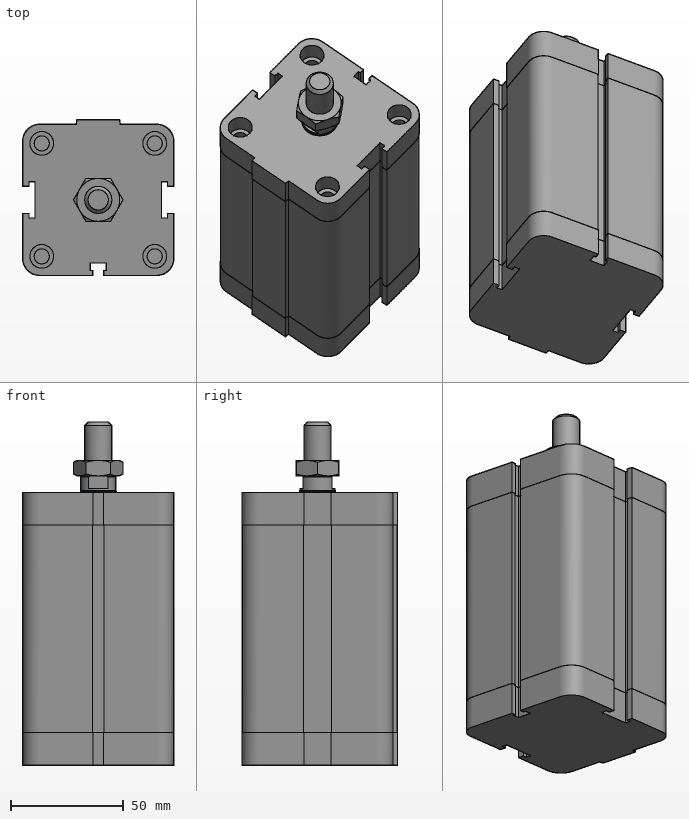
import cadquery as cq
import math


housing_side = 67.0
housing_height = 120.8
end_cap_height = 14.5
barrel_height = housing_height - 2 * end_cap_height
barrel_inset = 0.09
corner_radius = 7.6
rib_base_width = 19.6
rib_top_width = 19.0
rib_height = 2.0

side_slot = (12.0, 16.0, 2.9, 5.5)
front_slot = (4.9, 7.0, 2.3, 5.5)

hole_pitch = 50.0
hole_diameter = 6.7
counterbore_diameter = 10.5
hole_depth = end_cap_height
counterbore_depth = 9.1

rod_top = 152.0
rod_diameter = 16.0
rod_exposed_length = 0.9
rod_bevel_height = 0.5
collar_diameter = 15.7
thread_diameter = 12.0
rod_tip_chamfer = 1.5
collar_chamfer = 0.5
rod_engagement = end_cap_height
flats_across = 12.9
flats_offset = 1.7
flats_bottom = housing_height + flats_offset

nut_sides = 6
nut_across_flats = 19.0
nut_height = 6.8
collar_height = 7.3
nut_bottom = housing_height + collar_height
nut_bevel_angle = 30
nut_across_corners = nut_across_flats / math.cos(math.pi / nut_sides)


def t_slot(slot, height, inset, angle):
    """T-slot cutter in the -Y side, widened by the inset and turned about Z by the angle."""
    mouth_width, wide_width, lip_thickness, depth = slot
    outer_face = housing_side / 2
    cut_depth = depth + inset
    wide_depth = cut_depth - lip_thickness + inset
    floor = -outer_face + cut_depth
    mouth = (
        cq.Workplane("XY")
        .center(0, floor - cut_depth / 2)
        .rect(mouth_width + 2 * inset, cut_depth)
        .extrude(height)
    )
    wide = (
        cq.Workplane("XY")
        .center(0, floor - wide_depth / 2)
        .rect(wide_width + 2 * inset, wide_depth)
        .extrude(height)
    )
    return mouth.union(wide).rotate((0, 0, 0), (0, 0, 1), angle)


def housing_section(bottom, height, inset=0):
    """Length of the housing profile, with its whole outline set in by the inset."""
    half_side = housing_side / 2 - inset
    half_base = rib_base_width / 2 - inset
    half_top = rib_top_width / 2 - inset
    block = (
        cq.Workplane("XY")
        .rect(2 * half_side, 2 * half_side)
        .extrude(height)
        .edges("|Z")
        .fillet(corner_radius)
    )
    rib = (
        cq.Workplane("XY")
        .polyline([
            (-half_base, half_side),
            (half_base, half_side),
            (half_top, half_side + rib_height),
            (-half_top, half_side + rib_height),
        ])
        .close()
        .extrude(height)
    )
    section = block.union(rib).cut(t_slot(front_slot, height, inset, 0))
    for angle in (90, -90):
        section = section.cut(t_slot(side_slot, height, inset, angle))
    return section.translate((0, 0, bottom))


def make_housing():
    body = (
        housing_section(0, end_cap_height)
        .union(housing_section(end_cap_height, barrel_height, barrel_inset))
        .union(housing_section(end_cap_height + barrel_height, end_cap_height))
    )
    body = (
        body.faces(">Z")
        .workplane(origin=(0, 0, housing_height))
        .rect(hole_pitch, hole_pitch, forConstruction=True)
        .vertices()
        .cboreHole(hole_diameter, counterbore_diameter, counterbore_depth, hole_depth)
    )
    rod_bore = (
        cq.Workplane("XY", origin=(0, 0, housing_height - rod_engagement))
        .circle(rod_diameter / 2)
        .extrude(rod_engagement)
    )
    return body.cut(rod_bore)


def make_rod():
    collar_bottom = housing_height + rod_exposed_length
    shank = (
        cq.Workplane("XY", origin=(0, 0, housing_height - rod_engagement))
        .circle(rod_diameter / 2)
        .extrude(rod_engagement + rod_exposed_length)
        .faces(">Z")
        .chamfer(rod_bevel_height, (rod_diameter - collar_diameter) / 2)
    )
    collar = (
        cq.Workplane("XY", origin=(0, 0, collar_bottom))
        .circle(collar_diameter / 2)
        .extrude(nut_bottom - collar_bottom)
        .faces(">Z")
        .chamfer(collar_chamfer)
    )
    thread = (
        cq.Workplane("XY", origin=(0, 0, nut_bottom))
        .circle(thread_diameter / 2)
        .extrude(rod_top - nut_bottom)
        .faces(">Z")
        .chamfer(rod_tip_chamfer)
    )
    rod = shank.union(collar).union(thread)
    flats_height = nut_bottom - flats_bottom
    for side in (-1, 1):
        flat_cutter = (
            cq.Workplane("XY", origin=(0, side * (flats_across + collar_diameter) / 2, flats_bottom))
            .box(2 * collar_diameter, collar_diameter, flats_height, centered=(True, True, False))
        )
        rod = rod.cut(flat_cutter)
    return rod


def make_nut():
    prism = (
        cq.Workplane("XY", origin=(0, 0, nut_bottom))
        .polygon(nut_sides, nut_across_corners)
        .extrude(nut_height)
    )
    outer = nut_across_corners / 2
    inner = nut_across_flats / 2
    bevel = (outer - inner) * math.tan(math.radians(nut_bevel_angle))
    nut_top = nut_bottom + nut_height
    envelope = (
        cq.Workplane("XZ")
        .polyline([
            (0, nut_bottom),
            (inner, nut_bottom),
            (outer, nut_bottom + bevel),
            (outer, nut_top - bevel),
            (inner, nut_top),
            (0, nut_top),
        ])
        .close()
        .revolve(360, (0, 0, 0), (0, 1, 0))
    )
    thread_hole = (
        cq.Workplane("XY", origin=(0, 0, nut_bottom))
        .circle(thread_diameter / 2)
        .extrude(nut_height)
    )
    return prism.intersect(envelope).cut(thread_hole)


housing = make_housing()
rod = make_rod()
nut = make_nut()

result = cq.Compound.makeCompound([housing.val(), rod.val(), nut.val()])